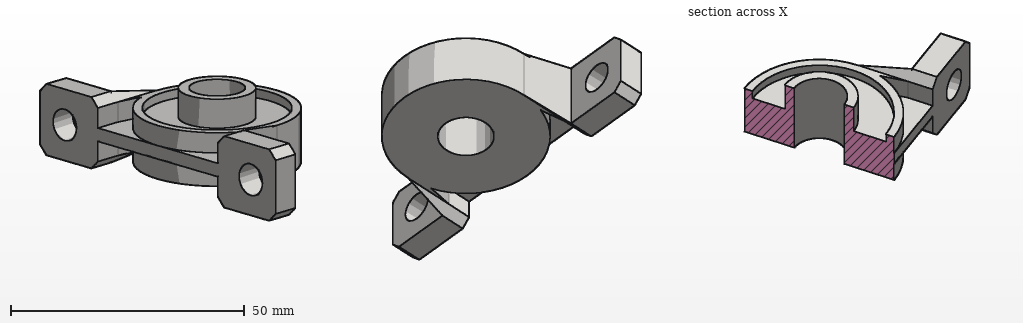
import cadquery as cq


housing_diameter = 36.0
housing_height = 12.0
recess_diameter = 32.0
recess_depth = 2.0

ring_diameter = 16.6
bore_diameter = 12.0
ring_top = 10.5

overall_length = 71.0
foot_height = 16.0
foot_thickness = 6.0
bolt_spacing = 56.0
bolt_hole_diameter = 7.0

arm_wall = 2.0
web_thickness = 3.0

housing_radius = housing_diameter / 2
half_length = overall_length / 2
base_y = -housing_radius
foot_top_y = base_y + foot_thickness
foot_inner_x = housing_radius
arm_outer_x = foot_inner_x + arm_wall
foot_chamfer = (foot_height - housing_height) / 2


def cylinder(diameter, bottom, top):
    """Cylinder on the housing axis between two heights."""
    return cq.Workplane("XY").workplane(offset=bottom).circle(diameter / 2).extrude(top - bottom)


def make_bracket():
    """Feet and tapering arms, cut to the height profile seen along Y."""
    plan = (
        cq.Workplane("XY")
        .moveTo(-half_length, base_y)
        .lineTo(half_length, base_y)
        .lineTo(half_length, foot_top_y)
        .lineTo(arm_outer_x, foot_top_y)
        .lineTo(housing_radius, 0)
        .lineTo(-housing_radius, 0)
        .lineTo(-arm_outer_x, foot_top_y)
        .lineTo(-half_length, foot_top_y)
        .close()
        .extrude(foot_height / 2, both=True)
    )

    full_z = foot_height / 2
    low_z = housing_height / 2
    outer_x = half_length - foot_chamfer
    upper_profile = [
        (-half_length, low_z),
        (-outer_x, full_z),
        (-arm_outer_x, full_z),
        (-foot_inner_x, low_z),
        (foot_inner_x, low_z),
        (arm_outer_x, full_z),
        (outer_x, full_z),
        (half_length, low_z),
    ]
    lower_profile = [(x, -z) for x, z in reversed(upper_profile)]
    profile = (
        cq.Workplane("XZ")
        .polyline(upper_profile + lower_profile)
        .close()
        .extrude(housing_diameter, both=True)
    )
    return plan.intersect(profile)


def make_web_pocket(side):
    """Space between the arms above (side = 1) or below (side = -1) the web."""
    inner_x = housing_radius - arm_wall
    pocket_depth = (foot_height - web_thickness) / 2
    return (
        cq.Workplane("XY")
        .workplane(offset=side * web_thickness / 2)
        .moveTo(-foot_inner_x, base_y)
        .lineTo(foot_inner_x, base_y)
        .lineTo(foot_inner_x, foot_top_y)
        .lineTo(inner_x, 0)
        .lineTo(-inner_x, 0)
        .lineTo(-foot_inner_x, foot_top_y)
        .close()
        .extrude(side * pocket_depth)
    )


def make_bolt_holes():
    """Holes through both feet along Y."""
    return (
        cq.Workplane("XZ", origin=(0, foot_top_y, 0))
        .pushPoints([(-bolt_spacing / 2, 0), (bolt_spacing / 2, 0)])
        .circle(bolt_hole_diameter / 2)
        .extrude(foot_thickness)
    )


housing_bottom = -housing_height / 2
housing_top = housing_height / 2

bracket = make_bracket()
for side in (1, -1):
    bracket = bracket.cut(make_web_pocket(side))

result = bracket.union(cylinder(housing_diameter, housing_bottom, housing_top))
result = result.cut(cylinder(recess_diameter, housing_top - recess_depth, housing_top))
result = result.union(cylinder(ring_diameter, housing_bottom, ring_top))
result = result.cut(cylinder(bore_diameter, housing_bottom, ring_top))
result = result.cut(make_bolt_holes())